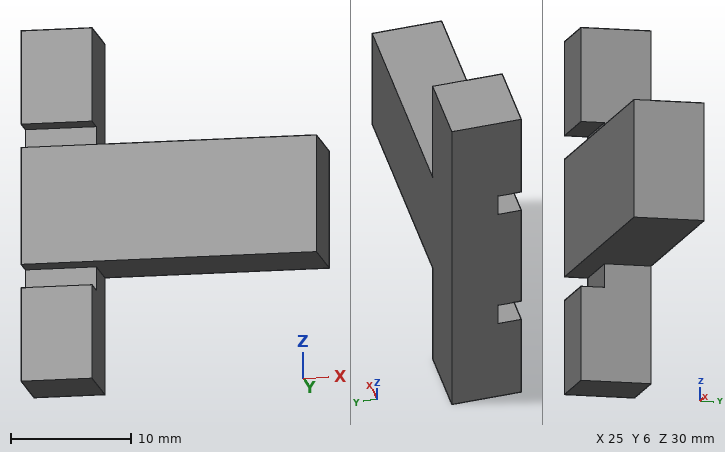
import cadquery as cq

bar_height = 30.0
bar_width = 6.0
thickness = 6.0
overall_length = 25.0
stem_height = bar_height / 3
groove_size = thickness / 3


def block(length, depth, height, x, y, z):
    """Box whose minimum corner is at (x, y, z)."""
    return cq.Workplane("XY").box(length, depth, height, centered=False).translate((x, y, z))


crossbar = block(bar_width, thickness, bar_height, 0, 0, -bar_height / 2)
stem = block(overall_length, thickness, stem_height, 0, 0, -stem_height / 2)
result = crossbar.union(stem)

for groove_bottom in (stem_height / 2, -stem_height / 2 - groove_size):
    result = result.cut(block(bar_width, groove_size, groove_size, 0, 0, groove_bottom))